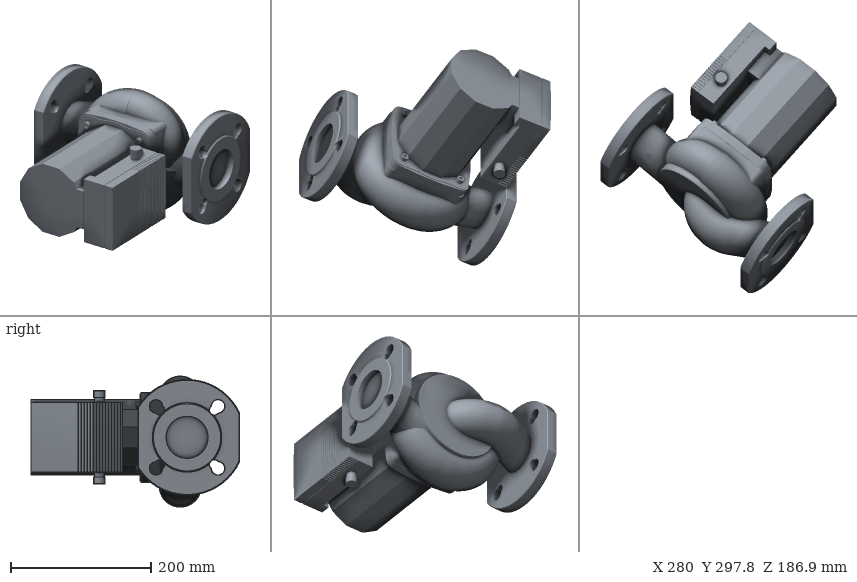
import cadquery as cq
import math

face_to_face = 280.0
flange_diameter = 165.0
flange_thickness = 17.0
flange_edge_chamfer = 1.0
flange_flat_back = 75.0
flange_flat_front = -70.0
raised_face_diameter = 99.0
raised_face_height = 2.2
raised_face_chamfer = 1.5
outer_bolt_circle = 125.0
outer_bolt_hole = 19.0
inner_bolt_circle = 110.0
inner_bolt_hole = 14.0
bolt_angles = (45, 135, 225, 315)
bore_diameter = 60.0
bore_depth = 10.0

pipe_radius = 30.15
pipe_axis_start = 131.0
elbow_bend_radius = 46.6
outlet_axis_end = (0.0, -8.0, -48.0)

volute_y = -9.7
volute_outer_radius = 93.43
volute_center_z = -6.1
volute_tube_radius = 30.0
volute_throat_outer_radius = 79.0
volute_throat_tube_radius = 28.2

cap_radius = 67.2
cap_center_x = 2.3
cap_back_y = 26.0
cap_chamfer_height = 2.0
cap_chamfer_width = 0.7

neck_corner_half = 60.7
neck_corner_radius = 9.0
neck_middle_half = 63.6
plate_back_y = -52.8
plate_front_y = -67.0
plate_corner_half = 61.4
plate_corner_radius = 15.4
plate_bulge_half_width = 21.5
plate_shoulder_half = 63.9
plate_middle_half = 64.3
rim_height = 1.0
rim_corner_half = 59.2
rim_corner_radius = 12.0
rim_bulge_half_width = 21.0
rim_middle_half = 62.0

motor_length = 155.75
motor_front_y = plate_front_y - motor_length
motor_across_flats = 108.0
motor_sides = 12
bridge_half_height = 30.0
bridge_back_y = -169.5

screw_offset = 45.3
screw_head_diameter = 10.0
screw_head_height = 6.0
screw_socket_flats = 5.0
screw_socket_depth = 3.0

module_half_height = 50.0
module_back_y = -92.0
module_inner_x = 66.0
module_lip_x = 57.3
module_lip_back_y = -207.5
module_outer_x = 92.4
lip_gap = 1.0
reveal_width = 1.8
reveal_depth = 0.6
cover_edge_x = 107.2
cover_crown_x = 108.8
groove_count = 15
groove_width = 1.1
groove_pitch = 4.3
groove_depth = 1.0
first_groove_offset = 2.9

gland_y = -125.0
gland_x = 78.7
gland_neck_diameter = 14.5
gland_neck_height = 6.5
gland_cap_diameter = 16.5
gland_cap_height = 10.0


def prism_y(profile, front_y, back_y):
    """Extrude a profile drawn on XZ at Y = 0 so that it spans front_y to back_y."""
    return profile.extrude(back_y - front_y).translate((0, back_y, 0))


def circle_wire(radius, center, normal):
    """Circle used as a loft section."""
    return cq.Wire.makeCircle(radius, cq.Vector(*center), cq.Vector(*normal))


def bulged_square(corner_half, corner_radius, bulge_half_width, shoulder_half, middle_half):
    """Rounded square in XZ whose four sides each rise to a shallow arc in the middle."""
    corner_start = corner_half - corner_radius
    corner_middle = corner_start + corner_radius * math.sqrt(0.5)

    def turned(point, quarter):
        """Point turned by a number of clockwise quarter turns."""
        x, z = point
        for _ in range(quarter):
            x, z = z, -x
        return (x, z)

    outline = cq.Workplane("XZ").moveTo(-corner_start, corner_half)
    for quarter in range(4):
        if corner_start > bulge_half_width:
            outline = outline.lineTo(*turned((-bulge_half_width, shoulder_half), quarter))
        outline = outline.threePointArc(
            turned((0, middle_half), quarter),
            turned((bulge_half_width, shoulder_half), quarter),
        )
        if corner_start > bulge_half_width:
            outline = outline.lineTo(*turned((corner_start, corner_half), quarter))
        outline = outline.threePointArc(
            turned((corner_middle, corner_middle), quarter),
            turned((corner_half, corner_start), quarter),
        )
    return outline.close()


def bolt_slot():
    """Keyhole through a flange on its +Y axis: two overlapping bolt holes on two bolt circles."""
    outer = cq.Workplane("YZ").center(outer_bolt_circle / 2, 0).circle(outer_bolt_hole / 2)
    inner = cq.Workplane("YZ").center(inner_bolt_circle / 2, 0).circle(inner_bolt_hole / 2)
    return outer.extrude(-face_to_face).union(inner.extrude(-face_to_face))


def flange():
    """Left-hand flange, facing -X."""
    seat_x = -face_to_face / 2 + raised_face_height
    flat_width = flange_flat_back - flange_flat_front
    flat_middle = (flange_flat_back + flange_flat_front) / 2
    disc = cq.Workplane("YZ", origin=(seat_x, 0, 0)).circle(flange_diameter / 2).extrude(flange_thickness)
    between_flats = cq.Workplane("XY").box(2 * face_to_face, flat_width, flange_diameter)
    disc = disc.intersect(between_flats.translate((0, flat_middle, 0)))
    disc = disc.faces("<X or >X").edges().chamfer(flange_edge_chamfer)
    raised = (
        cq.Workplane("YZ", origin=(-face_to_face / 2, 0, 0))
        .circle(raised_face_diameter / 2)
        .extrude(raised_face_height)
        .faces("<X")
        .chamfer(raised_face_chamfer)
    )
    body = disc.union(raised)
    for angle in bolt_angles:
        body = body.cut(bolt_slot().rotate((0, 0, 0), (1, 0, 0), angle))
    return body


def inlet_pipe():
    """Pipe rising behind the volute, then bending down onto the pump axis."""
    start = (-pipe_axis_start, 0)
    bend = (-elbow_bend_radius, volute_y)
    dx = bend[0] - start[0]
    dy = bend[1] - start[1]
    slope = math.atan2(dy, dx) + math.asin(elbow_bend_radius / math.hypot(dx, dy))
    tangent = (
        bend[0] - elbow_bend_radius * math.sin(slope),
        bend[1] + elbow_bend_radius * math.cos(slope),
        0,
    )
    direction = (math.cos(slope), math.sin(slope), 0)
    straight = cq.Solid.makeLoft(
        [
            circle_wire(pipe_radius, (-pipe_axis_start, 0, 0), (1, 0, 0)),
            circle_wire(pipe_radius, tangent, direction),
        ],
        True,
    )
    bend_angle = 90 + math.degrees(slope)
    elbow = (
        cq.Workplane("XZ", origin=(0, volute_y, 0))
        .circle(pipe_radius)
        .revolve(bend_angle, (-elbow_bend_radius, 0, 0), (-elbow_bend_radius, 1, 0))
    )
    return cq.Workplane(straight).union(elbow)


def outlet_pipe():
    """Slanted pipe from the right flange into the lower right of the volute."""
    return cq.Workplane(
        cq.Solid.makeLoft(
            [
                circle_wire(pipe_radius, (pipe_axis_start, 0, 0), (1, 0, 0)),
                circle_wire(pipe_radius, outlet_axis_end, (1, 0, 0)),
            ],
            True,
        )
    )


def coil(outer_radius, tube_radius, center_z):
    """Full ring of round tube about an axis parallel to Y."""
    ring = cq.Solid.makeTorus(outer_radius - tube_radius, tube_radius)
    return cq.Workplane(ring).rotate((0, 0, 0), (1, 0, 0), 90).translate((0, volute_y, center_z))


def volute():
    """Large coil on the left and below, small throat coil at the upper right."""
    size = 4 * volute_outer_radius
    main = coil(volute_outer_radius, volute_tube_radius, volute_center_z)
    upper_right = cq.Workplane("XY").box(size, size, size, centered=(False, True, False))
    upper_right = upper_right.translate((0, 0, volute_center_z))
    main = main.cut(upper_right)
    throat_z = volute_center_z + volute_outer_radius - volute_throat_outer_radius
    throat = coil(volute_throat_outer_radius, volute_throat_tube_radius, throat_z).intersect(upper_right)
    return main.union(throat)


def neck():
    """Square neck that carries the motor plate."""
    bow_end = neck_corner_half - neck_corner_radius
    outline = bulged_square(neck_corner_half, neck_corner_radius, bow_end, neck_corner_half, neck_middle_half)
    return prism_y(outline, plate_back_y, volute_y)


def build_housing():
    """Pump housing: volute, cap, neck, pipes and both flanges, with a blind bore in each face."""
    cap = prism_y(cq.Workplane("XZ").center(cap_center_x, 0).circle(cap_radius), volute_y, cap_back_y)
    cap = cap.faces(">Y").chamfer(cap_chamfer_height, cap_chamfer_width)
    body = volute().union(cap).union(neck())
    body = body.union(inlet_pipe()).union(outlet_pipe())
    left_flange = flange()
    body = body.union(left_flange).union(left_flange.mirror("YZ"))
    for side in (-1, 1):
        bore = cq.Workplane("YZ").circle(bore_diameter / 2).extrude(-side * bore_depth)
        body = body.cut(bore.translate((side * face_to_face / 2, 0, 0)))
    return body


def build_motor():
    """Motor: mounting plate, twelve-sided can and the bridge that reaches to the module."""
    plate_outline = bulged_square(
        plate_corner_half, plate_corner_radius, plate_bulge_half_width, plate_shoulder_half, plate_middle_half
    )
    plate = prism_y(plate_outline, plate_front_y + rim_height, plate_back_y)
    rim_outline = bulged_square(
        rim_corner_half, rim_corner_radius, rim_bulge_half_width, rim_corner_half, rim_middle_half
    )
    rim = prism_y(rim_outline, plate_front_y, plate_back_y)
    across_corners = motor_across_flats / math.cos(math.pi / motor_sides)
    can = prism_y(cq.Workplane("XZ").polygon(motor_sides, across_corners), motor_front_y, plate_front_y)
    can = can.rotate((0, 0, 0), (0, 1, 0), 180 / motor_sides)
    bridge = (
        cq.Workplane("XY")
        .moveTo(0, motor_front_y)
        .lineTo(module_lip_x - lip_gap, motor_front_y)
        .lineTo(module_lip_x - lip_gap, module_lip_back_y)
        .lineTo(module_inner_x, module_lip_back_y)
        .lineTo(module_inner_x, bridge_back_y)
        .lineTo(0, bridge_back_y)
        .close()
        .extrude(bridge_half_height, both=True)
    )
    return plate.union(rim).union(can).union(bridge)


def build_screw(x, z):
    """Socket screw head seated on the plate."""
    head = cq.Workplane("XZ", origin=(x, plate_front_y, z)).circle(screw_head_diameter / 2)
    head = head.extrude(screw_head_height)
    socket_corners = screw_socket_flats / math.cos(math.pi / 6)
    return head.faces("<Y").workplane().polygon(6, socket_corners).cutBlind(-screw_socket_depth)


def build_module():
    """Upright box hung on the bridge by a lip at its front end."""
    return (
        cq.Workplane("XY")
        .moveTo(module_lip_x, motor_front_y)
        .lineTo(module_outer_x, motor_front_y)
        .lineTo(module_outer_x, module_back_y)
        .lineTo(module_inner_x, module_back_y)
        .lineTo(module_inner_x, module_lip_back_y)
        .lineTo(module_lip_x, module_lip_back_y)
        .close()
        .extrude(module_half_height, both=True)
    )


def build_cover():
    """Slightly crowned cover with a recessed joint strip and cooling grooves at its rear."""
    inner_x = module_outer_x + reveal_width
    shell = prism_y(
        cq.Workplane("XZ")
        .moveTo(inner_x, -module_half_height)
        .lineTo(cover_edge_x, -module_half_height)
        .threePointArc((cover_crown_x, 0), (cover_edge_x, module_half_height))
        .lineTo(inner_x, module_half_height)
        .close(),
        motor_front_y,
        module_back_y,
    )
    length = module_back_y - motor_front_y
    reveal = cq.Workplane("XY").box(
        reveal_width,
        length - 2 * reveal_depth,
        2 * (module_half_height - reveal_depth),
    )
    reveal = reveal.translate((module_outer_x + reveal_width / 2, (module_back_y + motor_front_y) / 2, 0))
    cover = shell.union(reveal)
    core_half_x = cover_edge_x - groove_depth
    core_half_z = module_half_height - groove_depth
    core = cq.Workplane("XY").box(2 * core_half_x, 2 * length, 2 * core_half_z)
    core = core.translate((0, module_back_y, 0))
    blade = cq.Workplane("XY").box(2 * cover_crown_x, groove_width, 3 * module_half_height)
    for i in range(groove_count):
        groove_y = module_back_y - first_groove_offset - i * groove_pitch
        blade_here = blade.translate((inner_x + cover_crown_x, groove_y, 0))
        cover = cover.cut(blade_here.cut(core))
    return cover


def build_gland(side):
    """Cable gland on the upper (side 1) or lower (side -1) end of the module."""
    neck = cq.Workplane("XY").circle(gland_neck_diameter / 2).extrude(side * gland_neck_height)
    cap = cq.Workplane("XY").circle(gland_cap_diameter / 2).extrude(side * gland_cap_height)
    gland = neck.union(cap.translate((0, 0, side * gland_neck_height)))
    return gland.translate((gland_x, gland_y, side * module_half_height))


housing = build_housing()
motor = build_motor()
screws = [build_screw(sx * screw_offset, sz * screw_offset) for sx in (-1, 1) for sz in (-1, 1)]
module = build_module()
cover = build_cover()
glands = [build_gland(side) for side in (-1, 1)]

result = cq.Compound.makeCompound(
    [housing.val(), motor.val(), module.val(), cover.val()]
    + [screw.val() for screw in screws]
    + [gland.val() for gland in glands]
)